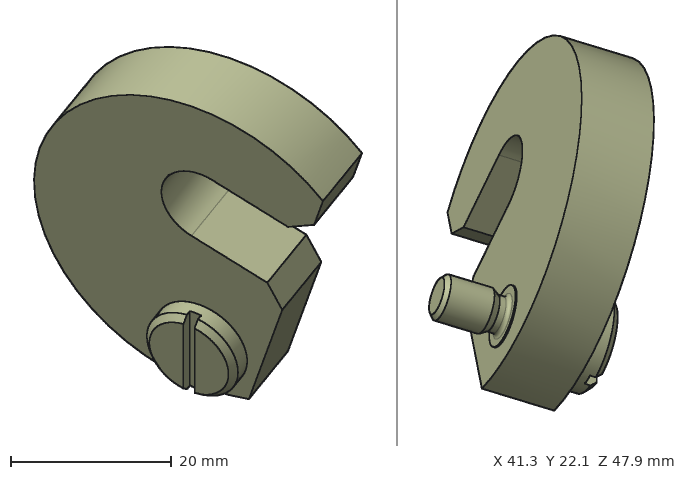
import cadquery as cq
import math

PLATE_RADIUS = 23.95
PLATE_THICKNESS = 9.85

SLOT_TILT = math.radians(15)
SLOT_CENTER_Z = 7.0
SLOT_RADIUS = 5.75
MOUTH_DISTANCE = 14.3
MOUTH_CHAMFER = 3.0

SCREW_Z = -16.5
HEAD_RADIUS = 6.5
HEAD_HEIGHT = 3.15
HEAD_CHAMFER = 0.85
DRIVER_SLOT_WIDTH = 1.6
DRIVER_SLOT_DEPTH = 1.65

SHOULDER_RADIUS = 4.05
SHOULDER_HEIGHT = 0.2
NECK_RADIUS = 2.4
NECK_FILLET = 0.58
NECK_END = 1.6
STUD_RADIUS = 3.0
STUD_START = 2.6
STUD_LENGTH = 9.1
STUD_CHAMFER = 0.6


def make_plate():
    """Disc cut flat across the mouth, with a chamfered round-ended slot."""
    disc = cq.Workplane("XZ").circle(PLATE_RADIUS).extrude(-PLATE_THICKNESS)

    slot_plane = cq.Plane(
        origin=(0, 0, SLOT_CENTER_Z),
        xDir=(math.cos(SLOT_TILT), 0, -math.sin(SLOT_TILT)),
        normal=(0, -1, 0),
    )
    wall_end = MOUTH_DISTANCE - MOUTH_CHAMFER
    mouth_half_width = SLOT_RADIUS + MOUTH_CHAMFER
    beyond_disc = 2 * PLATE_RADIUS

    opening = (
        cq.Workplane(slot_plane)
        .moveTo(0, SLOT_RADIUS)
        .lineTo(wall_end, SLOT_RADIUS)
        .lineTo(MOUTH_DISTANCE, mouth_half_width)
        .lineTo(MOUTH_DISTANCE, beyond_disc)
        .lineTo(beyond_disc, beyond_disc)
        .lineTo(beyond_disc, -beyond_disc)
        .lineTo(MOUTH_DISTANCE, -beyond_disc)
        .lineTo(MOUTH_DISTANCE, -mouth_half_width)
        .lineTo(wall_end, -SLOT_RADIUS)
        .lineTo(0, -SLOT_RADIUS)
        .threePointArc((-SLOT_RADIUS, 0), (0, SLOT_RADIUS))
        .close()
        .extrude(-PLATE_THICKNESS)
    )
    return disc.cut(opening)


def make_screw():
    """Turned screw profile revolved about its axis, with a driver slot in the head."""
    back = PLATE_THICKNESS
    shoulder_face = back + SHOULDER_HEIGHT
    fillet_end = shoulder_face + NECK_FILLET
    stud_end = back + STUD_LENGTH
    fillet_inset = NECK_FILLET * (1 - math.sqrt(0.5))

    screw = (
        cq.Workplane("XY", origin=(0, 0, SCREW_Z))
        .moveTo(0, -HEAD_HEIGHT)
        .lineTo(HEAD_RADIUS - HEAD_CHAMFER, -HEAD_HEIGHT)
        .lineTo(HEAD_RADIUS, HEAD_CHAMFER - HEAD_HEIGHT)
        .lineTo(HEAD_RADIUS, 0)
        .lineTo(SHOULDER_RADIUS, 0)
        .lineTo(SHOULDER_RADIUS, shoulder_face)
        .lineTo(NECK_RADIUS + NECK_FILLET, shoulder_face)
        .threePointArc(
            (NECK_RADIUS + fillet_inset, shoulder_face + fillet_inset),
            (NECK_RADIUS, fillet_end),
        )
        .lineTo(NECK_RADIUS, back + NECK_END)
        .lineTo(STUD_RADIUS, back + STUD_START)
        .lineTo(STUD_RADIUS, stud_end - STUD_CHAMFER)
        .lineTo(STUD_RADIUS - STUD_CHAMFER, stud_end)
        .lineTo(0, stud_end)
        .close()
        .revolve(360, (0, 0, 0), (0, 1, 0))
    )
    driver_slot = (
        cq.Workplane("XZ", origin=(0, -HEAD_HEIGHT, SCREW_Z))
        .rect(DRIVER_SLOT_WIDTH, 2 * HEAD_RADIUS)
        .extrude(-DRIVER_SLOT_DEPTH)
    )
    return screw.cut(driver_slot)


result = make_plate().union(make_screw())